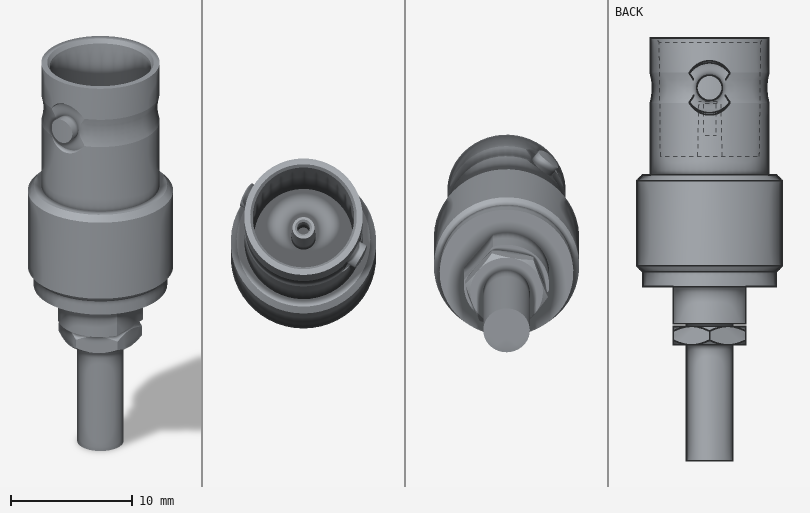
import cadquery as cq
import math

total_height = 34.85
nut_bottom = 9.55
nut_top = 11.08
stub_bottom = 11.3
flange_bottom = 14.35
sleeve_bottom = 15.58
sleeve_top = 23.55
pin_height = 30.75

rod_radius = 1.9
stub_radius = 3.52
nut_width = 6.0
stub_flat_width = nut_width
nut_edge_slope = 40.0
sleeve_radius = 6.0
flange_radius = 5.5
sleeve_chamfer = sleeve_radius - flange_radius
barrel_radius = 4.88

groove_half_height = 1.25
groove_depth = 0.17

pin_radius = 1.05
pin_reach = 5.5
seat_floor_radius = 2.05
seat_rim_radius = 2.23
seat_offset = 4.55

mouth_radius = 4.4
bore_top_radius = 4.18
bore_floor_radius = 4.08
mouth_chamfer_height = 0.35
floor_height = 25.1
contact_top = 29.62
contact_base_radius = 1.0
contact_tip_radius = 0.9
socket_mouth_radius = 0.7
socket_radius = 0.52
socket_depth = 2.8


def revolve_about_z(profile):
    """Close a half profile, drawn as (radius, height), and turn it about Z."""
    return profile.close().revolve(360, (0, 0, 0), (0, 1, 0))


def make_body():
    """Rod, neck, flange, chamfered sleeve and grooved barrel as one turned solid."""
    profile = (
        cq.Workplane("XZ")
        .moveTo(0, 0)
        .lineTo(rod_radius, 0)
        .lineTo(rod_radius, flange_bottom)
        .lineTo(flange_radius, flange_bottom)
        .lineTo(flange_radius, sleeve_bottom)
        .lineTo(sleeve_radius, sleeve_bottom + sleeve_chamfer)
        .lineTo(sleeve_radius, sleeve_top - sleeve_chamfer)
        .lineTo(sleeve_radius - sleeve_chamfer, sleeve_top)
        .lineTo(barrel_radius, sleeve_top)
        .lineTo(barrel_radius, pin_height - groove_half_height)
        .threePointArc(
            (barrel_radius - groove_depth, pin_height),
            (barrel_radius, pin_height + groove_half_height),
        )
        .lineTo(barrel_radius, total_height)
        .lineTo(0, total_height)
    )
    return revolve_about_z(profile)


def make_stub():
    """Round stub under the flange with two flats facing -X and +X."""
    height = flange_bottom - stub_bottom
    stub = cq.Workplane("XY").workplane(offset=stub_bottom).circle(stub_radius).extrude(height)
    flats = (
        cq.Workplane("XY")
        .workplane(offset=stub_bottom)
        .rect(stub_flat_width, 2 * stub_radius)
        .extrude(height)
    )
    return stub.intersect(flats)


def make_nut():
    """Hexagonal nut with corners on the Y axis and both ends turned down to a cone."""
    inner_radius = nut_width / 2
    corner_radius = inner_radius / math.cos(math.radians(30))
    edge_drop = (corner_radius - inner_radius) * math.tan(math.radians(nut_edge_slope))
    hexagon = (
        cq.Workplane("XY")
        .workplane(offset=nut_bottom)
        .transformed(rotate=(0, 0, 90))
        .polygon(6, 2 * corner_radius)
        .extrude(nut_top - nut_bottom)
    )
    turned_blank = revolve_about_z(
        cq.Workplane("XZ")
        .moveTo(0, nut_bottom)
        .lineTo(inner_radius, nut_bottom)
        .lineTo(corner_radius, nut_bottom + edge_drop)
        .lineTo(corner_radius, nut_top - edge_drop)
        .lineTo(inner_radius, nut_top)
        .lineTo(0, nut_top)
    )
    return hexagon.intersect(turned_blank)


def make_pin():
    """Pin along +Y, rooted in the barrel wall and rounded at its tip about the Z axis."""
    root = (mouth_radius + seat_offset) / 2
    base = cq.Vector(0, root, pin_height)
    pin = cq.Workplane(
        cq.Solid.makeCylinder(pin_radius, pin_reach - root, base, cq.Vector(0, 1, 0))
    )
    tip_envelope = cq.Workplane("XY").circle(pin_reach).extrude(total_height)
    return pin.intersect(tip_envelope)


def make_seat_cutter():
    """Cone from the flat seat to its wider rim, which lies level with the barrel surface."""
    centre = cq.Vector(0, seat_offset, pin_height)
    depth = barrel_radius - seat_offset
    return cq.Workplane(
        cq.Solid.makeCone(seat_floor_radius, seat_rim_radius, depth, centre, cq.Vector(0, 1, 0))
    )


def add_pin_pair(body):
    """Cut the two flat seats into the barrel and stand a pin on each."""
    seat = make_seat_cutter()
    pin = make_pin()
    for turn in (0, 180):
        body = body.cut(seat.rotate((0, 0, 0), (0, 0, 1), turn))
        body = body.union(pin.rotate((0, 0, 0), (0, 0, 1), turn))
    return body


def make_cavity():
    """Open bore around the tapered centre contact, with the socket in the contact."""
    socket_chamfer = socket_mouth_radius - socket_radius
    profile = (
        cq.Workplane("XZ")
        .moveTo(0, total_height)
        .lineTo(mouth_radius, total_height)
        .lineTo(bore_top_radius, total_height - mouth_chamfer_height)
        .lineTo(bore_floor_radius, floor_height)
        .lineTo(contact_base_radius, floor_height)
        .lineTo(contact_tip_radius, contact_top)
        .lineTo(socket_mouth_radius, contact_top)
        .lineTo(socket_radius, contact_top - socket_chamfer)
        .lineTo(socket_radius, contact_top - socket_depth)
        .lineTo(0, contact_top - socket_depth)
    )
    return revolve_about_z(profile)


body = make_body().union(make_stub()).union(make_nut())
result = add_pin_pair(body).cut(make_cavity())